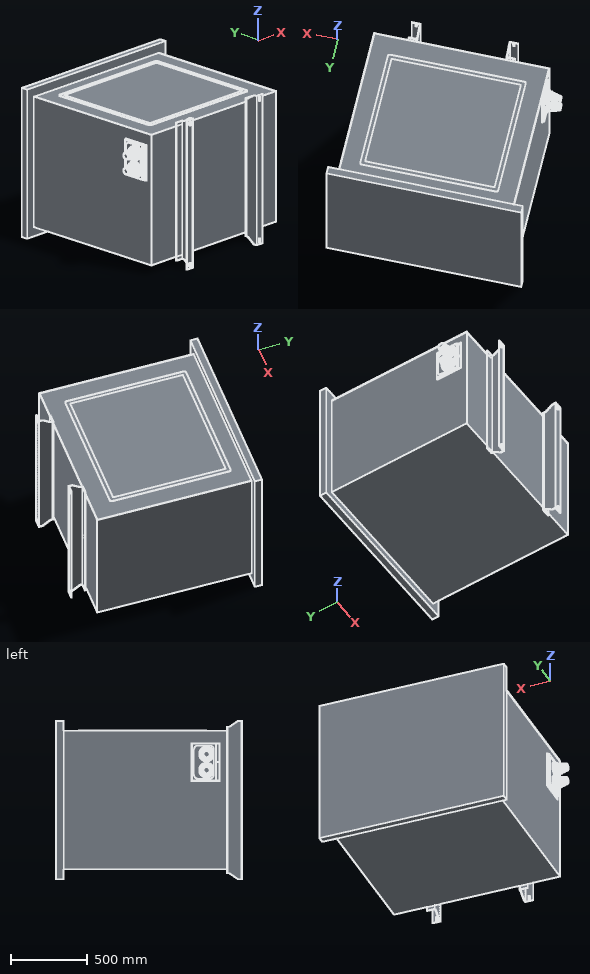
import cadquery as cq

TOTAL_WIDTH = 1352
TOTAL_DEPTH = 1220.0
FLANGE_WIDTH = 1310.0
FLANGE_HEIGHT = 1040.0
FLANGE_THICKNESS = 50.0
FLANGE_OVERHANG = 65.0

BRACKET_DEPTH = 100.0
BODY_WIDTH = FLANGE_WIDTH - 2 * FLANGE_OVERHANG
BODY_HEIGHT = FLANGE_HEIGHT - 2 * FLANGE_OVERHANG
BACK_Y = TOTAL_DEPTH / 2
BODY_BACK_Y = BACK_Y - FLANGE_THICKNESS
BODY_FRONT_Y = -TOTAL_DEPTH / 2 + BRACKET_DEPTH
BODY_SIDE_X = -BODY_WIDTH / 2
BODY_TOP_Z = BODY_HEIGHT / 2
WALL = 4.0
SEAM_DEPTH = 1.0

FRAME_WIDTH = 927.0
FRAME_LENGTH = 837.0
FRAME_HEIGHT = 3.0
FRAME_BORDER = 28.0
FRAME_CORNER_RADIUS = 14
FRAME_CENTRE_Y = 43.0
PANEL_DEPTH = 1.0

BRACKET_SHEET = 5.0
BRACKET_WIDTH = 60.0
BRACKET_WEB_X = 299.0
BACK_LEG_HEIGHT = 962.0
SLOPE_START = 18.0
SLOPE_END = 73.0
SLOT_WIDTH = 11.0
SLOT_LENGTH = 30.0
SLOT_SPACING = 987
SLOT_CENTRE_X = 328.0

ENTRY_CENTRE_Z = 249.0
ENTRY_BACK_Y = -277.0
SILL_LENGTH = 188.0
SILL_HEIGHT = 250.0
SILL_THICKNESS = 1.0
BASE_LENGTH = 165.0
BASE_THICKNESS = 5.0
COVER_LENGTH = 154.0
COVER_HEIGHT = 239.0
COVER_TOP = 16.0
PAD_LENGTH = 130.0
PAD_HEIGHT = 218.0
PAD_THICKNESS = 1.0
PAD_CORNER_RADIUS = 27
PAD_CENTRE_Y = -360.0
POCKET_LENGTH = 18.0
POCKET_DEPTH = 4.0
POCKET_RIB = 3.0

GLAND_Y = -377.0
GLAND_SPACING = 105.0
GLAND_TIP_X = FLANGE_WIDTH / 2 - TOTAL_WIDTH
TIP_RADIUS = 20.0
TIP_LENGTH = 4.0
STEP_COUNT = 6
STEP_LENGTH = 11.0
FIRST_STEP_RADIUS = 25.0
LAST_STEP_RADIUS = 38.0
COLLAR_RADIUS = 43.0
COLLAR_LENGTH = 5.0
NECK_RADIUS = 42.0
NECK_LENGTH = 10.0
GLAND_FOOT_RADIUS = 49.0


def block(x_range, y_range, z_range):
    """Box spanning the given (low, high) limits along each axis."""
    limits = (x_range, y_range, z_range)
    sizes = [high - low for low, high in limits]
    corner = tuple(low for low, high in limits)
    return cq.Workplane("XY").box(*sizes, centered=False).translate(corner)


def around(centre, size):
    """Limits of a length centred on a position."""
    return (centre - size / 2, centre + size / 2)


def make_cabinet():
    """Flanged box whose top and front skins sit slightly below the wall edges."""
    flange = block(around(0, FLANGE_WIDTH), (BODY_BACK_Y, BACK_Y), around(0, FLANGE_HEIGHT))
    body = block(around(0, BODY_WIDTH), (BODY_FRONT_Y, BODY_BACK_Y), around(0, BODY_HEIGHT))
    skin_x = around(0, BODY_WIDTH - 2 * WALL)
    top_seam = block(skin_x, (BODY_FRONT_Y + WALL, BODY_BACK_Y), (BODY_TOP_Z - SEAM_DEPTH, BODY_TOP_Z))
    front_seam = block(skin_x, (BODY_FRONT_Y, BODY_FRONT_Y + SEAM_DEPTH), around(0, BODY_HEIGHT))
    return flange.union(body.cut(top_seam).cut(front_seam))


def make_top_frame():
    """Low frame with rounded corners around a slightly sunken panel."""
    bottom_z = BODY_TOP_Z - SEAM_DEPTH
    frame = (
        cq.Workplane("XY", origin=(0, FRAME_CENTRE_Y, bottom_z))
        .rect(FRAME_WIDTH, FRAME_LENGTH)
        .extrude(SEAM_DEPTH + FRAME_HEIGHT)
        .edges("|Z")
        .fillet(FRAME_CORNER_RADIUS)
    )
    return (
        frame.faces(">Z")
        .workplane(origin=(0, FRAME_CENTRE_Y, 0))
        .rect(FRAME_WIDTH - 2 * FRAME_BORDER, FRAME_LENGTH - 2 * FRAME_BORDER)
        .cutBlind(-PANEL_DEPTH)
    )


def make_right_bracket():
    """Channel with sloped ends: short leg on the body, full-height slotted leg in front."""
    back_z = BACK_LEG_HEIGHT / 2
    front_z = FLANGE_HEIGHT / 2
    inner_y = BODY_FRONT_Y + SEAM_DEPTH
    slope_start_y = BODY_FRONT_Y - SLOPE_START
    slope_end_y = BODY_FRONT_Y - SLOPE_END
    front_y = -BACK_Y
    side_outline = [
        (inner_y, -back_z),
        (inner_y, back_z),
        (slope_start_y, back_z),
        (slope_end_y, front_z),
        (front_y, front_z),
        (front_y, -front_z),
        (slope_end_y, -front_z),
        (slope_start_y, -back_z),
    ]
    channel = (
        cq.Workplane("YZ", origin=(BRACKET_WEB_X, 0, 0))
        .polyline(side_outline)
        .close()
        .extrude(BRACKET_WIDTH)
    )
    hollow = block(
        (BRACKET_WEB_X + BRACKET_SHEET, BRACKET_WEB_X + BRACKET_WIDTH),
        (front_y + BRACKET_SHEET, BODY_FRONT_Y - BRACKET_SHEET),
        around(0, FLANGE_HEIGHT),
    )
    slots = (
        cq.Workplane("XZ", origin=(SLOT_CENTRE_X, front_y + BRACKET_SHEET, 0))
        .rarray(14, SLOT_SPACING, 1, 2)
        .slot2D(SLOT_LENGTH, SLOT_WIDTH, 90)
        .extrude(BRACKET_SHEET)
    )
    return channel.cut(hollow).cut(slots)


def side_plate(back_y, length, height, top):
    """Plate standing off the left wall, rooted inside the wall."""
    return block(
        (BODY_SIDE_X - top, BODY_SIDE_X + WALL),
        (back_y - length, back_y),
        around(ENTRY_CENTRE_Z, height),
    )


def make_entry_plates():
    """Sill, base, cover and rounded pad stacked on the left wall."""
    cover_back_y = ENTRY_BACK_Y - (BASE_LENGTH - COVER_LENGTH) / 2
    sill = side_plate(ENTRY_BACK_Y, SILL_LENGTH, SILL_HEIGHT, SILL_THICKNESS)
    base = side_plate(ENTRY_BACK_Y, BASE_LENGTH, SILL_HEIGHT, BASE_THICKNESS)
    cover = side_plate(cover_back_y, COVER_LENGTH, COVER_HEIGHT, COVER_TOP)
    pad = side_plate(PAD_CENTRE_Y + PAD_LENGTH / 2, PAD_LENGTH, PAD_HEIGHT, COVER_TOP + PAD_THICKNESS)
    return sill.union(base).union(cover).union(pad.edges("|X").fillet(PAD_CORNER_RADIUS))


def make_sill_pockets():
    """Two shallow pockets in the exposed sill strip, parted by a thin rib."""
    pocket_back_y = ENTRY_BACK_Y - BASE_LENGTH
    x_range = (BODY_SIDE_X - SILL_THICKNESS, BODY_SIDE_X - SILL_THICKNESS + POCKET_DEPTH)
    y_range = (pocket_back_y - POCKET_LENGTH, pocket_back_y)
    strip = block(x_range, y_range, around(ENTRY_CENTRE_Z, COVER_HEIGHT))
    return strip.cut(block(x_range, y_range, around(ENTRY_CENTRE_Z, POCKET_RIB)))


def make_gland(centre_z):
    """Stepped cone that widens from its tip to a collar, neck and foot on the pad."""
    radius_growth = (LAST_STEP_RADIUS - FIRST_STEP_RADIUS) / (STEP_COUNT - 1)
    sections = [(TIP_RADIUS, TIP_LENGTH)]
    for step in range(STEP_COUNT):
        sections.append((FIRST_STEP_RADIUS + step * radius_growth, STEP_LENGTH))
    sections.append((COLLAR_RADIUS, COLLAR_LENGTH))
    sections.append((NECK_RADIUS, NECK_LENGTH))
    foot_length = BODY_SIDE_X - GLAND_TIP_X - sum(length for radius, length in sections)
    sections.append((GLAND_FOOT_RADIUS, foot_length))

    outline = cq.Workplane("XY").moveTo(0, 0)
    x = 0
    for radius, length in sections:
        outline = outline.lineTo(x, radius)
        x += length
        outline = outline.lineTo(x, radius)
    profile = outline.lineTo(x, 0).close()
    gland = profile.revolve(360, (0, 0, 0), (1, 0, 0))
    return gland.translate((GLAND_TIP_X, GLAND_Y, centre_z))


right_bracket = make_right_bracket()

result = make_cabinet().union(make_top_frame())
result = result.union(right_bracket).union(right_bracket.mirror("YZ"))
result = result.union(make_entry_plates()).cut(make_sill_pockets())
for gland_z in around(ENTRY_CENTRE_Z, GLAND_SPACING):
    result = result.union(make_gland(gland_z))